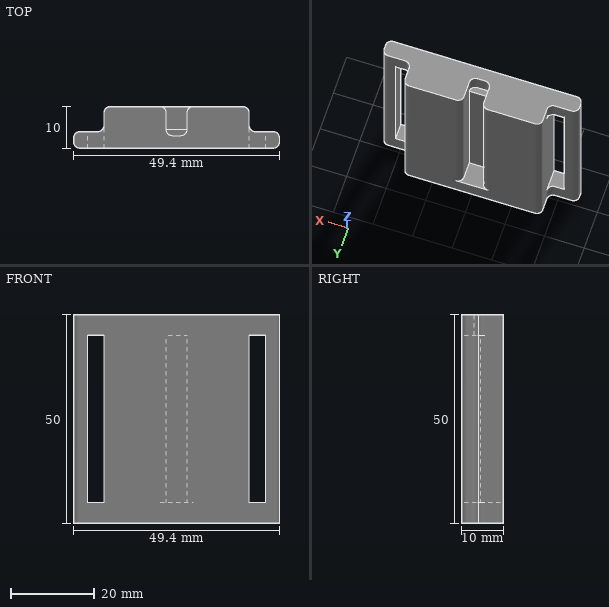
import cadquery as cq

width = 49.35
thickness = 10.0
length = 50.0

flange_thickness = 4.0
body_width = 34.8
edge_radius = 1.5

slot_width = 3.9
slot_length = 40.0
slot_center_x = (body_width + slot_width) / 2

groove_width = 5.0
groove_floor = 3.0
groove_step_floor = groove_floor + edge_radius
groove_end_wall = (length - slot_length) / 2
groove_step_z = length - groove_end_wall


def make_plate():
    """Flange plate with a raised central body, all lengthwise edges rounded."""
    half_width = width / 2
    half_body = body_width / 2
    profile = [
        (-half_width, 0),
        (half_width, 0),
        (half_width, flange_thickness),
        (half_body, flange_thickness),
        (half_body, thickness),
        (-half_body, thickness),
        (-half_body, flange_thickness),
        (-half_width, flange_thickness),
    ]
    plate = cq.Workplane("XY").polyline(profile).close().extrude(length)
    return plate.edges("|Z").fillet(edge_radius)


def groove_cutter(floor, bottom):
    """Straight groove volume from the given floor height and bottom end to the top end."""
    cutter = cq.Workplane("XY").box(
        groove_width, thickness - floor, length - bottom, centered=(True, False, False)
    )
    return cutter.translate((0, floor, bottom))


def cut_groove(plate):
    """Cut the stepped, stopped groove and round its lengthwise edges."""
    shallow_part = groove_cutter(groove_step_floor, groove_end_wall)
    deep_part = groove_cutter(groove_floor, groove_step_z)
    deep_part = deep_part.edges("|Z and <Y").fillet(edge_radius)
    mouth = cq.selectors.BoxSelector(
        (-groove_width, thickness - edge_radius / 2, 0),
        (groove_width, thickness + edge_radius / 2, length),
    )
    grooved = plate.cut(shallow_part.union(deep_part))
    return grooved.edges("|Z").edges(mouth).fillet(edge_radius)


def cut_slots(plate):
    """Cut the two through slots in the flanges, flush with the body sides."""
    slots = (
        cq.Workplane("XY")
        .pushPoints([(-slot_center_x, 0), (slot_center_x, 0)])
        .rect(slot_width, 2 * thickness)
        .extrude(slot_length)
        .translate((0, 0, (length - slot_length) / 2))
    )
    return plate.cut(slots)


result = cut_slots(cut_groove(make_plate()))